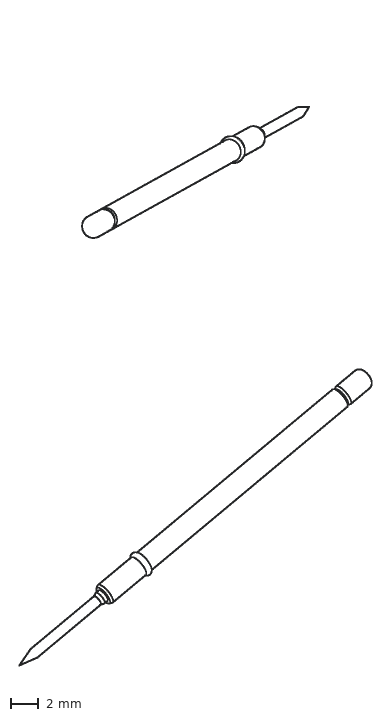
import cadquery as cq

total_length = 34.3

barrel_radius = 1.65 / 2
barrel_front = 26.0
front_chamfer_length = 0.2
front_chamfer_depth = 0.1
tail_round = 0.45

groove_start = 2.3
groove_bottom = 2.5
groove_end = 2.65
groove_depth = 0.1

ring_radius = 2.0 / 2
ring_center = 22.25
ring_width = 0.5

shank_radius = 0.8 / 2
tip_length = 1.47
neck_radius = 1.0 / 2
neck_taper_start = 26.3
neck_taper_end = 26.58


def turn(profile):
    """Revolve a closed YZ profile a full turn about the Y axis."""
    return profile.close().revolve(360, (0, 0, 0), (1, 0, 0))


def make_barrel():
    """Cylinder with a rounded tail and a long shallow chamfer at the front."""
    body = turn(
        cq.Workplane("YZ")
        .lineTo(0, barrel_radius)
        .lineTo(barrel_front - front_chamfer_length, barrel_radius)
        .lineTo(barrel_front, barrel_radius - front_chamfer_depth)
        .lineTo(barrel_front, 0)
    )
    return body.faces("<Y").edges().fillet(tail_round)


def make_groove_cutter():
    """Ring-shaped cutter whose inner side is the V of the groove."""
    return turn(
        cq.Workplane("YZ")
        .moveTo(groove_start, barrel_radius)
        .lineTo(groove_bottom, barrel_radius - groove_depth)
        .lineTo(groove_end, barrel_radius)
        .lineTo(groove_end, ring_radius)
        .lineTo(groove_start, ring_radius)
    )


def make_ring():
    """Bead with an arc outer profile that stands proud of the barrel."""
    ring_start = ring_center - ring_width / 2
    ring_end = ring_center + ring_width / 2
    return turn(
        cq.Workplane("YZ")
        .moveTo(ring_start, 0)
        .lineTo(ring_start, barrel_radius)
        .threePointArc((ring_center, ring_radius), (ring_end, barrel_radius))
        .lineTo(ring_end, 0)
    )


def make_needle():
    """Pointed needle with its neck, seated in the front of the barrel."""
    needle_base = barrel_front - front_chamfer_length
    return turn(
        cq.Workplane("YZ")
        .moveTo(needle_base, 0)
        .lineTo(needle_base, neck_radius)
        .lineTo(neck_taper_start, neck_radius)
        .lineTo(neck_taper_end, shank_radius)
        .lineTo(total_length - tip_length, shank_radius)
        .lineTo(total_length, 0)
    )


barrel = make_barrel().cut(make_groove_cutter())
result = barrel.union(make_ring()).union(make_needle())